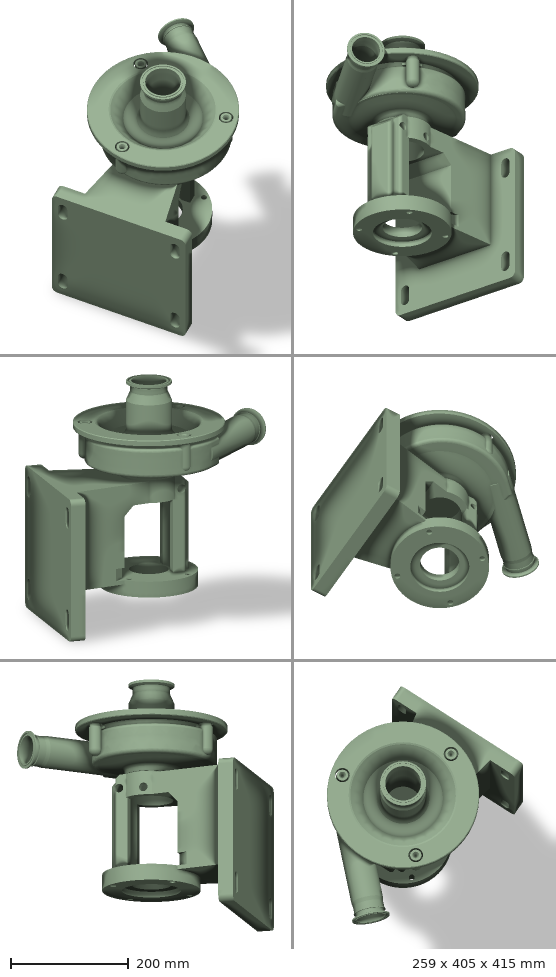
import cadquery as cq
import math


total_height = 415.0

plate_width = 250.0
plate_height = 250.2
plate_outer_y = -180.5
plate_thickness = 26.0
plate_inner_y = plate_outer_y + plate_thickness
plate_corner = 10.5
slot_width = 17.0
slot_length = 37.0
slot_spacing_x = 209.5
slot_spacing_z = 180.0

hub_radius = 50.2
hub_bore_radius = 37.5
hub_bottom_z = 212.5
hub_top_z = 253.0
oil_hole_radius = 7.5
oil_hole_z = 225.5
web_root_width = 150.2
web_tip_y = -14.5
web_front_y = -62.5
web_bottom_z = 76.0
web_chamfer = 17.5
notch_bottom_z = 83.0
notch_height = 22.0
notch_depth_y = 16.5

motor_flange_radius = 84.0
motor_flange_bore_radius = 33.5
motor_pilot_radius = 50.2
motor_pilot_depth = 10.0
motor_flange_bottom_z = 55.0
motor_flange_top_z = 83.0
motor_bolt_circle_radius = 74.3
motor_bolt_hole_radius = 5.0
column_width = 72.2
column_front_y = 31.5
column_step_y = 54.8
column_back_y = 65.0
column_back_width = 41.5
column_edge_radius = 5.5
column_top_chamfer_y = 19.5
column_top_chamfer_z = 17.5
column_hole_radius = 7.5
column_hole_y = 47.0
column_hole_z = 229.5

casing_bottom_z = 273.5
casing_top_z = 324.0
casing_edge_radius = 6.0
volute_start_angle = 135
volute_end_angle = 405
volute_start_radius = 102.5
volute_end_radius = 119.0
volute_steps = 18
throat_length = 29.0
throat_inner_angle = 80
throat_inner_radius = 99.5
shoulder_radius = 97.0
back_cone_radius = 91.5
back_cone_tip_radius = 52.0
back_cone_tip_z = 267.5
neck_radius = 46.0
neck_top_z = 263.0
neck_bottom_z = 255.2
neck_step_radius = 45.0
neck_fillet = 6.0

cover_radius = 129.5
cover_bottom_z = 333.0
cover_top_z = 343.5
cover_edge_chamfer = 1.2
recess_rim_radius = 92.5
recess_wall_radius = 89.5
recess_floor_radius = 67.5
recess_floor_z = 321.0
recess_rim_drop = 1.2

inlet_radius = 39.0
inlet_neck_radius = 32.0
inlet_bore_radius = 30.5
inlet_bore_bottom_z = 286.5
inlet_flare_width = 6.0
inlet_flare_height = 11.5
inlet_cone_bottom_z = 381.5
inlet_cone_top_z = 397.0
inlet_ferrule_radius = 39.0
inlet_ferrule_rim = 4.0
inlet_ferrule_thickness = 7.0
inlet_groove_radius = 35.0

outlet_offset = 94.0
outlet_side_angle = 45
outlet_z = 299.2
outlet_length = 191.0
outlet_radius = 27.5
outlet_neck_radius = 25.5
outlet_sleeve_radius = 26.0
outlet_ferrule_radius = 32.5
outlet_ferrule_rim = 2.5
outlet_ferrule_thickness = 4.5
outlet_bead_start = 11.0
outlet_bead_end = 13.0
outlet_taper_start = 25.0
outlet_taper_end = 32.0
outlet_mouth_radius = 24.0
outlet_bore_radius = 25.5
outlet_groove_radius = 28.0

groove_width = 2.5
groove_depth = 1.5

bolt_circle_radius = 108.7
bolt_angles = [15, 135, 255]
bolt_radius = 9.5
bolt_clearance_radius = 12.5
bolt_centre_radius = 6.0
bolt_centre_depth = 10.8
lug_radius = 11.0
lug_bottom_z = 279.7
lug_top_z = 328.3
lug_bottom_fillet = 9.0
lug_pad_radius = 19.0


def disc(radius, bottom_z, top_z, x=0, y=0):
    """Vertical solid cylinder between two heights."""
    return cq.Workplane("XY", origin=(x, y, bottom_z)).circle(radius).extrude(top_z - bottom_z)


def box_between(x_range, y_range, z_range):
    """Box given by its limits along each axis."""
    sizes = [high - low for low, high in (x_range, y_range, z_range)]
    corner = (x_range[0], y_range[0], z_range[0])
    return cq.Workplane("XY", origin=corner).box(*sizes, centered=False)


def polar(radius, angle):
    """Plan point at a radius and an angle in degrees."""
    turn = math.radians(angle)
    return radius * math.cos(turn), radius * math.sin(turn)


def ring_groove(workplane, radius):
    """Shallow annular cutter sunk below a workplane."""
    half = groove_width / 2
    return workplane.circle(radius + half).circle(radius - half).extrude(-groove_depth)


def mounting_plate():
    mid_z = plate_height / 2
    blank = box_between(
        (-plate_width / 2, plate_width / 2), (plate_outer_y, plate_inner_y), (0, plate_height)
    ).edges("|Y").fillet(plate_corner)
    slots = (
        cq.Workplane("XZ", origin=(0, plate_inner_y, mid_z))
        .rarray(slot_spacing_x, slot_spacing_z, 2, 2)
        .slot2D(slot_length, slot_width, 90)
        .extrude(plate_thickness)
    )
    return blank.cut(slots)


def web():
    """Tapered block from the plate to the hub, cut away in front for the coupling."""
    tip_half_width = math.sqrt(hub_radius**2 - web_tip_y**2)
    root_half_width = web_root_width / 2
    plan = (
        cq.Workplane("XY", origin=(0, 0, web_bottom_z))
        .polyline(
            [
                (-root_half_width, plate_inner_y),
                (root_half_width, plate_inner_y),
                (tip_half_width, web_tip_y),
                (-tip_half_width, web_tip_y),
            ]
        )
        .close()
        .extrude(plate_height - web_bottom_z)
    )
    side = (
        cq.Workplane("YZ")
        .polyline(
            [
                (plate_inner_y, web_bottom_z),
                (web_front_y, web_bottom_z),
                (web_front_y, hub_bottom_z - web_chamfer),
                (web_front_y + web_chamfer, hub_bottom_z),
                (web_tip_y, hub_bottom_z),
                (web_tip_y, plate_height),
                (plate_inner_y, plate_height),
            ]
        )
        .close()
        .extrude(root_half_width, both=True)
    )
    body = plan.intersect(side)

    taper = (root_half_width - tip_half_width) / (web_tip_y - plate_inner_y)
    notch_back_y = web_front_y - notch_depth_y
    notch_back_x = tip_half_width + taper * (web_tip_y - notch_back_y)
    notch = (
        cq.Workplane("XY", origin=(0, 0, notch_bottom_z))
        .polyline(
            [
                (notch_back_x, notch_back_y),
                (notch_back_x, web_front_y),
                (notch_back_x - notch_depth_y, web_front_y),
            ]
        )
        .close()
        .extrude(notch_height)
    )
    return body.cut(notch).cut(notch.mirror("YZ"))


def motor_flange():
    bolt_spacing = math.sqrt(2) * motor_bolt_circle_radius
    thickness = motor_flange_top_z - motor_flange_bottom_z
    bolt_holes = (
        cq.Workplane("XY", origin=(0, 0, motor_flange_bottom_z))
        .rarray(bolt_spacing, bolt_spacing, 2, 2)
        .circle(motor_bolt_hole_radius)
        .extrude(thickness)
    )
    bore = disc(motor_flange_bore_radius, motor_flange_bottom_z, motor_flange_top_z)
    pilot = disc(motor_pilot_radius, motor_flange_bottom_z, motor_flange_bottom_z + motor_pilot_depth)
    blank = disc(motor_flange_radius, motor_flange_bottom_z, motor_flange_top_z)
    return blank.cut(bore).cut(pilot).cut(bolt_holes)


def column():
    """Rear post from the motor flange to the hub, stepped narrower at the back."""
    z_range = (motor_flange_top_z, hub_top_z)
    wide = box_between((-column_width / 2, column_width / 2), (column_front_y, column_step_y), z_range)
    narrow = box_between(
        (-column_back_width / 2, column_back_width / 2), (column_front_y, column_back_y), z_range
    )
    wide = wide.edges("|Z and >Y").fillet(column_edge_radius)
    narrow = narrow.edges("|Z and >Y").fillet(column_edge_radius)
    top_corner = (
        cq.Workplane("YZ", origin=(-column_width / 2, 0, 0))
        .polyline(
            [
                (column_back_y, hub_top_z),
                (column_back_y - column_top_chamfer_y, hub_top_z),
                (column_back_y, hub_top_z - column_top_chamfer_z),
            ]
        )
        .close()
        .extrude(column_width)
    )
    return wide.union(narrow).cut(top_corner)


def bracket():
    hub = disc(hub_radius, hub_bottom_z, hub_top_z)
    body = hub.union(web()).union(column())
    body = body.cut(disc(hub_bore_radius, motor_flange_top_z, hub_top_z))
    oil_hole = (
        cq.Workplane("YZ", origin=(-hub_radius, 0, oil_hole_z)).circle(oil_hole_radius).extrude(hub_radius)
    )
    column_hole = (
        cq.Workplane("YZ", origin=(0, column_hole_y, column_hole_z))
        .circle(column_hole_radius)
        .extrude(hub_radius, both=True)
    )
    body = body.cut(oil_hole).cut(column_hole)
    return body.union(motor_flange()).union(mounting_plate())


def volute():
    """Prism of the spiral casing outline with its tangential throat."""
    sweep = volute_end_angle - volute_start_angle

    def spiral(t):
        radius = volute_start_radius + (volute_end_radius - volute_start_radius) * t
        return polar(radius, volute_start_angle + sweep * t)

    throat_corner = polar(
        math.hypot(volute_end_radius, throat_length),
        volute_end_angle + math.degrees(math.atan2(throat_length, volute_end_radius)),
    )
    arc_mid_angle = (throat_inner_angle + volute_start_angle) / 2
    arc_mid_radius = (throat_inner_radius + volute_start_radius) / 2
    points = [spiral(i / volute_steps) for i in range(volute_steps + 1)]
    return (
        cq.Workplane("XY", origin=(0, 0, casing_bottom_z))
        .moveTo(*points[0])
        .spline(points[1:], includeCurrent=True)
        .lineTo(*throat_corner)
        .lineTo(*polar(throat_inner_radius, throat_inner_angle))
        .threePointArc(polar(arc_mid_radius, arc_mid_angle), points[0])
        .close()
        .extrude(casing_top_z - casing_bottom_z)
    )


def casing():
    body = volute().faces("<Z or >Z").edges().fillet(casing_edge_radius)
    shoulder = disc(shoulder_radius, casing_bottom_z, cover_bottom_z)
    back = (
        cq.Workplane("XZ")
        .moveTo(0, casing_bottom_z)
        .lineTo(back_cone_radius, casing_bottom_z)
        .lineTo(back_cone_tip_radius, back_cone_tip_z)
        .radiusArc((neck_radius, neck_top_z), -neck_fillet)
        .lineTo(neck_radius, neck_bottom_z)
        .lineTo(neck_step_radius, neck_bottom_z)
        .lineTo(neck_step_radius, hub_top_z)
        .lineTo(0, hub_top_z)
        .close()
        .revolve(360, (0, 0, 0), (0, 1, 0))
    )
    body = body.union(shoulder).union(back)
    for angle in bolt_angles:
        x, y = polar(bolt_circle_radius, angle)
        lug = disc(lug_radius, lug_bottom_z, lug_top_z, x, y).faces("<Z").edges().fillet(lug_bottom_fillet)
        pad = disc(lug_pad_radius, casing_top_z, lug_top_z, x, y)
        pad = pad.intersect(disc(volute_start_radius, casing_top_z, lug_top_z))
        body = body.union(pad).union(lug)
    return body


def cover():
    body = disc(cover_radius, cover_bottom_z, cover_top_z).edges().chamfer(cover_edge_chamfer)
    for angle in bolt_angles:
        x, y = polar(bolt_circle_radius, angle)
        body = body.cut(disc(bolt_clearance_radius, cover_bottom_z, cover_top_z, x, y))
    return body


def recess():
    """Dish cutter: narrow rim bevel, then a conical wall down to a flat floor."""
    return (
        cq.Workplane("XZ")
        .moveTo(0, recess_floor_z)
        .lineTo(recess_floor_radius, recess_floor_z)
        .lineTo(recess_wall_radius, cover_top_z - recess_rim_drop)
        .lineTo(recess_rim_radius, cover_top_z)
        .lineTo(0, cover_top_z)
        .close()
        .revolve(360, (0, 0, 0), (0, 1, 0))
    )


def bolts():
    """Headless bolts, flush with the cover, each with a conical centre in its end."""
    parts = cq.Workplane("XY")
    for angle in bolt_angles:
        x, y = polar(bolt_circle_radius, angle)
        centre = (
            cq.Workplane("XZ", origin=(x, y, cover_top_z))
            .polyline([(0, 0), (bolt_centre_radius, 0), (0, -bolt_centre_depth)])
            .close()
            .revolve(360, (0, 0, 0), (0, 1, 0))
        )
        shank = disc(bolt_radius, lug_bottom_z + lug_bottom_fillet, cover_top_z, x, y)
        parts = parts.add(shank.cut(centre))
    return parts.combine()


def inlet():
    flare_radius = (inlet_flare_width**2 + inlet_flare_height**2) / (2 * inlet_flare_width)
    pipe = (
        cq.Workplane("XZ")
        .moveTo(0, recess_floor_z)
        .lineTo(inlet_radius + inlet_flare_width, recess_floor_z)
        .radiusArc((inlet_radius, recess_floor_z + inlet_flare_height), flare_radius)
        .lineTo(inlet_radius, inlet_cone_bottom_z)
        .lineTo(inlet_neck_radius, inlet_cone_top_z)
        .lineTo(inlet_neck_radius, total_height - inlet_ferrule_thickness)
        .lineTo(inlet_ferrule_radius, total_height - inlet_ferrule_rim)
        .lineTo(inlet_ferrule_radius, total_height)
        .lineTo(0, total_height)
        .close()
        .revolve(360, (0, 0, 0), (0, 1, 0))
    )
    return pipe.cut(ring_groove(cq.Workplane("XY", origin=(0, 0, total_height)), inlet_groove_radius))


outlet_plane = cq.Plane(
    origin=(*polar(outlet_offset, outlet_side_angle), outlet_z),
    xDir=(0, 0, 1),
    normal=(*polar(1, outlet_side_angle + 90), 0),
)


def outlet():
    """Pipe with its end ferrule, drawn as radius against distance along the pipe."""
    side_normal = (*polar(-1, outlet_side_angle), 0)
    profile_plane = cq.Plane(origin=outlet_plane.origin, xDir=(0, 0, 1), normal=side_normal)
    end = outlet_length
    pipe = (
        cq.Workplane(profile_plane)
        .polyline(
            [
                (0, 0),
                (outlet_radius, 0),
                (outlet_radius, end - outlet_taper_end),
                (outlet_sleeve_radius, end - outlet_taper_start),
                (outlet_sleeve_radius, end - outlet_bead_end),
                (outlet_radius, end - outlet_bead_end),
                (outlet_radius, end - outlet_bead_start),
                (outlet_neck_radius, end - outlet_bead_start),
                (outlet_neck_radius, end - outlet_ferrule_thickness),
                (outlet_ferrule_radius, end - outlet_ferrule_rim),
                (outlet_ferrule_radius, end),
                (0, end),
            ]
        )
        .close()
        .revolve(360, (0, 0, 0), (0, 1, 0))
    )
    face = cq.Workplane(outlet_plane).workplane(offset=end)
    return pipe.cut(ring_groove(face, outlet_groove_radius))


def outlet_bore():
    """Bore from the end face to beside the shaft axis, slightly wider behind the mouth."""
    mouth_depth = outlet_taper_end
    mouth = cq.Workplane(outlet_plane).workplane(offset=outlet_length - mouth_depth)
    mouth = mouth.circle(outlet_mouth_radius).extrude(mouth_depth)
    inner = cq.Workplane(outlet_plane).circle(outlet_bore_radius).extrude(outlet_length - mouth_depth)
    return inner.union(mouth)


pump = casing().union(outlet()).union(cover()).cut(recess()).union(bolts()).union(inlet())
pump = pump.cut(disc(inlet_bore_radius, inlet_bore_bottom_z, total_height)).cut(outlet_bore())
result = bracket().union(pump)